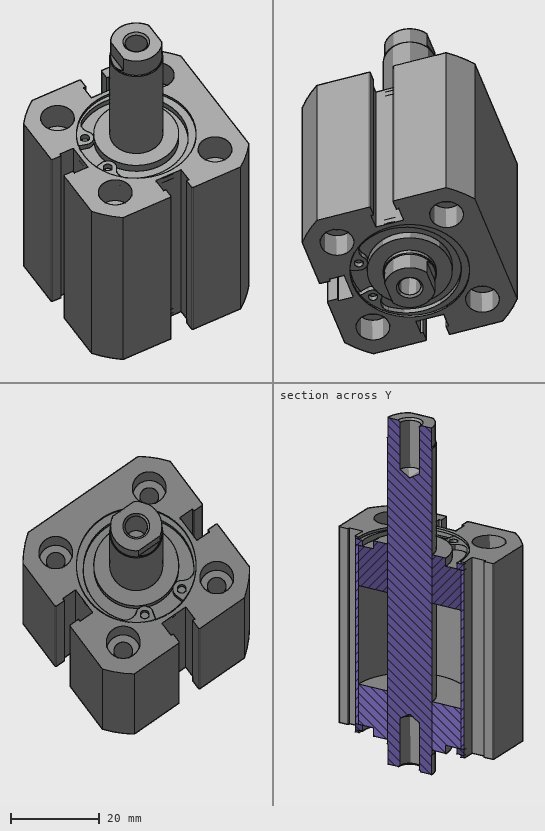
import cadquery as cq
import math


BODY_WIDTH = 41.0
BODY_LENGTH = 48.0
BODY_TOP = BODY_LENGTH / 2
CORNER_ROUND_DIAMETER = 51.2
BORE_DIAMETER = 27.0

SLOT_MOUTH = 5.4
SLOT_WIDTH = 6.6
SLOT_FLOOR = 14.5
SLOT_LIP = 18.0
SLOT_EDGE_RADIUS = 0.3
SLOT_ANGLES = (0, 180, 270)

HOLE_PITCH = 26.0
HOLE_DIAMETER = 4.2
COUNTERBORE_DIAMETER = 7.6
COUNTERBORE_DEPTH = 7.0

RING_RECESS = 0.6
RING_THICKNESS = 1.4
RING_OUTER_DIAMETER = 28.6
RING_INNER_DIAMETER = 25.0
RING_INNER_OFFSET = 0.9
LUG_RADIUS = 2.0
LUG_X = 5.15
LUG_Y = -10.4
LUG_HOLE_DIAMETER = 2.0
LUG_BLEND_RADIUS = 2.6

COVER_LENGTH = 12.0
COVER_BOSS_DIAMETER = 19.2

ROD_DIAMETER = 12.0
ROD_TOP_REACH = 31.0
ROD_BOTTOM_REACH = 6.0
NECK_DIAMETER = 11.6
NECK_LENGTH = 5.0
FLAT_WIDTH = 10.0
FLAT_RUNOUT = (ROD_DIAMETER - FLAT_WIDTH) / 2
FLAT_LENGTH = NECK_LENGTH - FLAT_RUNOUT
NECK_CHAMFER = 0.2
ROD_HOLE_DIAMETER = 5.0
ROD_HOLE_MOUTH = 6.0
ROD_HOLE_DEPTH = 12.0
DRILL_TIP_ANGLE = 118.0

RING_TOP = BODY_TOP - RING_RECESS
RING_BOTTOM = RING_TOP - RING_THICKNESS


def cylinder(diameter, bottom, top):
    """Cylinder on the rod axis between two heights."""
    return cq.Workplane("XY", origin=(0, 0, bottom)).circle(diameter / 2).extrude(top - bottom)


def mirrored_to_lower_end(shape):
    """Copy of an upper-end shape at the lower end of the cylinder."""
    return shape.mirror("XY")


def t_slot():
    """Cutter for the slot in the +X face, with rounded edges at its mouth."""
    face = BODY_WIDTH / 2
    half_mouth = SLOT_MOUTH / 2
    half_width = SLOT_WIDTH / 2
    radius = SLOT_EDGE_RADIUS
    bend = radius * (1 - math.sqrt(0.5))
    return (
        cq.Workplane("XY", origin=(0, 0, -BODY_TOP))
        .moveTo(SLOT_FLOOR, -half_width)
        .lineTo(SLOT_LIP, -half_width)
        .lineTo(SLOT_LIP, -half_mouth)
        .lineTo(face - radius, -half_mouth)
        .threePointArc((face - bend, -half_mouth - bend), (face, -half_mouth - radius))
        .lineTo(face, half_mouth + radius)
        .threePointArc((face - bend, half_mouth + bend), (face - radius, half_mouth))
        .lineTo(SLOT_LIP, half_mouth)
        .lineTo(SLOT_LIP, half_width)
        .lineTo(SLOT_FLOOR, half_width)
        .close()
        .extrude(BODY_LENGTH)
    )


def mounting_holes():
    """Four through holes, counterbored at both ends."""
    lower_face = cq.Workplane("XY", origin=(0, 0, -BODY_TOP))
    centres = lower_face.rect(HOLE_PITCH, HOLE_PITCH, forConstruction=True).vertices()
    holes = centres.circle(HOLE_DIAMETER / 2).extrude(BODY_LENGTH)
    lower = centres.circle(COUNTERBORE_DIAMETER / 2).extrude(COUNTERBORE_DEPTH)
    return holes.union(lower).union(lower.mirror("XY"))


def make_housing():
    """Square profile with rounded corners, a through bore, ring grooves, slots and holes."""
    body = cq.Workplane("XY").box(BODY_WIDTH, BODY_WIDTH, BODY_LENGTH)
    body = body.intersect(cylinder(CORNER_ROUND_DIAMETER, -BODY_TOP, BODY_TOP))
    body = body.cut(cylinder(BORE_DIAMETER, -BODY_TOP, BODY_TOP))
    groove = cylinder(RING_OUTER_DIAMETER, RING_BOTTOM, RING_TOP)
    body = body.cut(groove).cut(mirrored_to_lower_end(groove))
    for angle in SLOT_ANGLES:
        body = body.cut(t_slot().rotate((0, 0, 0), (0, 0, 1), angle))
    return body.cut(mounting_holes())


def lug_blend():
    """Centre of the concave arc that joins the ring's inner edge to the right-hand lug."""
    from_lug = LUG_RADIUS + LUG_BLEND_RADIUS
    from_inner = RING_INNER_DIAMETER / 2 - LUG_BLEND_RADIUS
    inner_y = -RING_INNER_OFFSET
    run = LUG_X
    rise = LUG_Y - inner_y
    distance = math.hypot(run, rise)
    along = (from_inner**2 - from_lug**2 + distance**2) / (2 * distance)
    across = math.sqrt(from_inner**2 - along**2)
    x = (along * run - across * rise) / distance
    y = inner_y + (along * rise + across * run) / distance
    return x, y


def arc_middle(centre, radius, start, end):
    """Middle of the shorter arc between two points."""
    x = (start[0] + end[0]) / 2 - centre[0]
    y = (start[1] + end[1]) / 2 - centre[1]
    scale = radius / math.hypot(x, y)
    return centre[0] + x * scale, centre[1] + y * scale


def flipped(point):
    """The same point on the other side of the YZ plane."""
    return -point[0], point[1]


def make_snap_ring():
    """Eccentric open ring with two drilled lugs beside its gap."""
    plane = cq.Workplane("XY", origin=(0, 0, RING_BOTTOM))
    inner_radius = RING_INNER_DIAMETER / 2

    lug_distance = math.hypot(LUG_X, LUG_Y)
    lug_angle = math.atan2(LUG_X, -LUG_Y)
    gap_half_angle = lug_angle - math.asin(LUG_RADIUS / lug_distance)
    outer_radius = RING_OUTER_DIAMETER / 2
    tangent_length = math.sqrt(lug_distance**2 - LUG_RADIUS**2)
    gap_x = math.sin(gap_half_angle)
    gap_y = -math.cos(gap_half_angle)

    blend_x, blend_y = lug_blend()
    to_lug = LUG_RADIUS / (LUG_RADIUS + LUG_BLEND_RADIUS)
    lug_end = (LUG_X + (blend_x - LUG_X) * to_lug, LUG_Y + (blend_y - LUG_Y) * to_lug)
    to_inner = inner_radius / (inner_radius - LUG_BLEND_RADIUS)
    inner_end = (blend_x * to_inner, -RING_INNER_OFFSET + (blend_y + RING_INNER_OFFSET) * to_inner)

    outer_start = (gap_x * outer_radius, gap_y * outer_radius)
    lug_start = (gap_x * tangent_length, gap_y * tangent_length)
    lug_middle = arc_middle((LUG_X, LUG_Y), LUG_RADIUS, lug_start, lug_end)
    blend_middle = arc_middle((blend_x, blend_y), LUG_BLEND_RADIUS, lug_end, inner_end)
    inner_top = (0, inner_radius - RING_INNER_OFFSET)
    ring = (
        plane.moveTo(*outer_start)
        .lineTo(*lug_start)
        .threePointArc(lug_middle, lug_end)
        .threePointArc(blend_middle, inner_end)
        .threePointArc(inner_top, flipped(inner_end))
        .threePointArc(flipped(blend_middle), flipped(lug_end))
        .threePointArc(flipped(lug_middle), flipped(lug_start))
        .lineTo(*flipped(outer_start))
        .threePointArc((0, outer_radius), outer_start)
        .close()
        .extrude(RING_THICKNESS)
    )
    lug_centres = [(LUG_X, LUG_Y), (-LUG_X, LUG_Y)]
    lug_holes = plane.pushPoints(lug_centres).circle(LUG_HOLE_DIAMETER / 2).extrude(RING_THICKNESS)
    return ring.cut(lug_holes)


def make_cover():
    """Flange held below the snap ring, with a boss flush with the housing end."""
    cover = cylinder(BORE_DIAMETER, BODY_TOP - COVER_LENGTH, RING_BOTTOM)
    cover = cover.union(cylinder(COVER_BOSS_DIAMETER, RING_BOTTOM, BODY_TOP))
    return cover.cut(cylinder(ROD_DIAMETER, BODY_TOP - COVER_LENGTH, BODY_TOP))


def rod_end(tip):
    """Upper rod half from the housing centre to the tip: flatted neck and drilled hole."""
    rod_radius = ROD_DIAMETER / 2
    neck_radius = NECK_DIAMETER / 2
    shoulder = tip - NECK_LENGTH
    half_rod = (
        cq.Workplane("XZ")
        .moveTo(0, 0)
        .lineTo(rod_radius, 0)
        .lineTo(rod_radius, shoulder)
        .lineTo(neck_radius, shoulder + NECK_CHAMFER)
        .lineTo(neck_radius, tip)
        .lineTo(0, tip)
        .close()
        .revolve(360, (0, 0, 0), (0, 1, 0))
    )

    flat = (
        cq.Workplane("YZ")
        .moveTo(FLAT_WIDTH / 2, tip)
        .lineTo(FLAT_WIDTH / 2, tip - FLAT_LENGTH)
        .lineTo(FLAT_WIDTH / 2 + FLAT_RUNOUT, shoulder)
        .lineTo(FLAT_WIDTH / 2 + FLAT_RUNOUT, tip)
        .close()
        .extrude(rod_radius, both=True)
    )
    half_rod = half_rod.cut(flat).cut(flat.mirror("XZ"))

    hole_radius = ROD_HOLE_DIAMETER / 2
    mouth_radius = ROD_HOLE_MOUTH / 2
    drill_tip = hole_radius / math.tan(math.radians(DRILL_TIP_ANGLE / 2))
    hole = (
        cq.Workplane("XZ")
        .moveTo(0, tip)
        .lineTo(mouth_radius, tip)
        .lineTo(hole_radius, tip - (mouth_radius - hole_radius))
        .lineTo(hole_radius, tip - ROD_HOLE_DEPTH)
        .lineTo(0, tip - ROD_HOLE_DEPTH - drill_tip)
        .close()
        .revolve(360, (0, 0, 0), (0, 1, 0))
    )
    return half_rod.cut(hole)


def make_rod():
    """Through rod with a long upper end and a short lower end."""
    upper = rod_end(BODY_TOP + ROD_TOP_REACH)
    lower = mirrored_to_lower_end(rod_end(BODY_TOP + ROD_BOTTOM_REACH))
    return upper.union(lower)


housing = make_housing()
rod = make_rod()
bodies = [housing.val(), rod.val()]
for end_part in (make_cover(), make_snap_ring()):
    bodies.append(end_part.val())
    bodies.append(mirrored_to_lower_end(end_part).val())

result = cq.Compound.makeCompound(bodies)